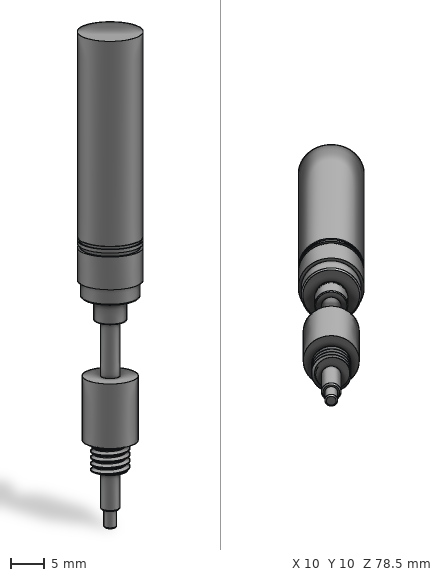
import cadquery as cq

total_length = 78.45
body_diameter = 10.0

pin_top = 2.9
thread_bottom = 8.95
sleeve_bottom = 13.8
sleeve_top = 24.0
gland_bottom = 32.8
gland_top = 35.9
nose_bottom = 36.5
body_bottom = 39.15

pin_diameter = 2.0
rod_diameter = 3.0
sleeve_diameter = 8.5
gland_diameter = 5.0
gland_neck_diameter = 4.7
nose_diameter = 9.0

pin_chamfer = 0.2
rod_chamfer = 0.2
gland_chamfer = 0.15
nose_chamfer = 0.2

lower_groove_bottom = 44.3
lower_groove_width = 0.6
lower_groove_diameter = 9.1
groove_land = 0.55
upper_groove_width = 0.5
upper_groove_diameter = 9.5

thread_diameter = 6.0
thread_root_diameter = 4.7
thread_neck_diameter = 5.0
thread_neck_length = 0.6
thread_turns = 5
thread_pitch = (sleeve_bottom - thread_bottom) / thread_turns
crest_width = thread_pitch / 8
ridge_base_width = thread_pitch * 0.9
ridge_overlap = 0.1
lead_in_turns = 2
run_out_turns = 3
crest_height_at_x = 9.5

trim_margin = 0.8


def cylinder(diameter, bottom, top):
    return cq.Workplane("XY").workplane(offset=bottom).circle(diameter / 2).extrude(top - bottom)


def groove(floor_diameter, bottom, width):
    ring = cylinder(body_diameter + trim_margin, bottom, bottom + width)
    return ring.cut(cylinder(floor_diameter, bottom, bottom + width))


def make_body():
    body = cylinder(body_diameter, body_bottom, total_length)
    upper_groove_bottom = lower_groove_bottom + lower_groove_width + groove_land
    body = body.cut(groove(lower_groove_diameter, lower_groove_bottom, lower_groove_width))
    body = body.cut(groove(upper_groove_diameter, upper_groove_bottom, upper_groove_width))
    nose = cylinder(nose_diameter, nose_bottom, body_bottom).faces("<Z").chamfer(nose_chamfer)
    neck = cylinder(gland_neck_diameter, gland_top, nose_bottom)
    gland = cylinder(gland_diameter, gland_bottom, gland_top).faces("<Z").chamfer(gland_chamfer)
    return body.union(nose).union(neck).union(gland)


def make_rod():
    pin = cylinder(pin_diameter, 0, pin_top).faces("<Z").chamfer(pin_chamfer)
    rod = cylinder(rod_diameter, pin_top, gland_bottom).faces("<Z").chamfer(rod_chamfer)
    return rod.union(pin)


def make_thread():
    thread_top = sleeve_bottom - thread_neck_length
    core = cylinder(thread_root_diameter, thread_bottom, thread_top)

    start = crest_height_at_x - lead_in_turns * thread_pitch
    root_radius = thread_root_diameter / 2
    helix_height = (thread_turns + run_out_turns) * thread_pitch
    helix = cq.Wire.makeHelix(thread_pitch, helix_height, root_radius, cq.Vector(0, 0, start))
    sunk_radius = root_radius - ridge_overlap
    crest_radius = thread_diameter / 2
    ridge = (
        cq.Workplane("XZ")
        .polyline([
            (sunk_radius, start - ridge_base_width / 2),
            (crest_radius, start - crest_width / 2),
            (crest_radius, start + crest_width / 2),
            (sunk_radius, start + ridge_base_width / 2),
        ])
        .close()
        .sweep(cq.Workplane(helix), isFrenet=True)
    )
    ridge = ridge.intersect(cylinder(thread_diameter + trim_margin, thread_bottom, thread_top))
    thread_neck = cylinder(thread_neck_diameter, thread_top, sleeve_bottom)
    return core.union(ridge).union(thread_neck)


sleeve = cylinder(sleeve_diameter, sleeve_bottom, sleeve_top)
result = make_body().union(make_rod()).union(sleeve).union(make_thread())